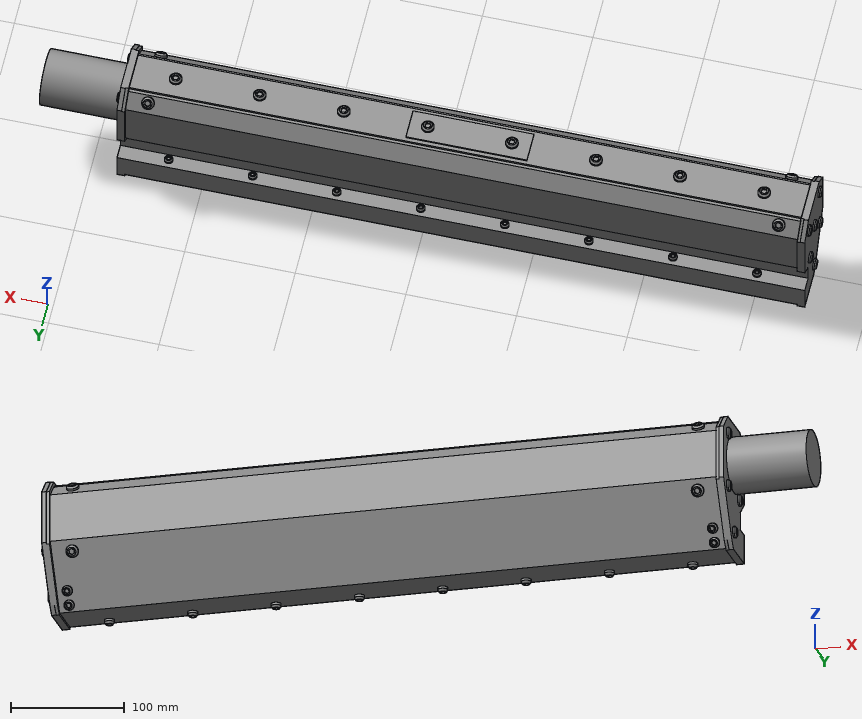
import cadquery as cq
import math

total_length = 697.0
end_head_height = 3.0
housing_span = 622.0
plate_outer_layer = 4.0
plate_inner_layer = 3.0
layer_relief = 1.0

half_width = 35.5
plate_top = 120.5
plate_bottom = 2.0
plate_chamfer = 14.5
side_bottom = 58.0
slope_ratio = math.sqrt(3)
corner_cut_z = 9.0
corner_toe_y = -1.5

notch_y = 22.0
notch_top = 46.0
ledge_z = 29.0

side_inset = 3.5
bottom_inset = 2.0
body_top = 116.0
body_chamfer = 12.0
body_slope_top = 60.0

cover_half_width = 17.5
cover_thickness = 2.0
label_length = 109.5
label_width = 28.0
label_thickness = 1.5

shaft_diameter = 51.0
shaft_z = 81.5

socket_ratio = 0.5
crown_ratio = 0.7
embed = 2.0
end_head_diameter = 10.5
body_head_diameter = 11.0
head_height = 3.5
small_head_diameter = 9.0
foot_head_diameter = 9.0
ledge_head_diameter = 8.0
foot_screw_y = 28.0

row_count = 8
row_pitch = 76.0
side_screw_offset = 285.0
pair_screw_offset = 294.0
slope_screw_z = 51.0
chamfer_screw_y = 25.0
pair_screw_heights = (21.0, 10.0)

end_screws = [(21.0, 104.5), (-21.0, 104.5), (0, shaft_z), (17.0, 55.0), (-21.0, 55.0), (0, 19.0)]

housing_start = end_head_height
housing_end = housing_start + housing_span
mid_x = (housing_start + housing_end) / 2
plate_thickness = plate_outer_layer + plate_inner_layer
body_half = half_width - side_inset
body_bottom = plate_bottom + bottom_inset
foot_head_height = body_bottom
body_flat_half = body_half - body_chamfer
body_shoulder_z = body_top - body_chamfer
cover_top = body_top + cover_thickness
label_top = cover_top + label_thickness
row_xs = [mid_x + (i - (row_count - 1) / 2) * row_pitch for i in range(row_count)]


def prism(points, x_start, length):
    """Extrude a closed (y, z) outline along +X."""
    return cq.Workplane("YZ", origin=(x_start, 0, 0)).polyline(points).close().extrude(length)


def plate_outline(relief):
    """End plate outline; relief sets back the chamfers, front side and lower corner."""
    front = -half_width + relief
    bevel_y = -half_width + (side_bottom - corner_cut_z) / slope_ratio
    return [
        (half_width, plate_bottom),
        (half_width, ledge_z),
        (notch_y, ledge_z),
        (notch_y, notch_top),
        (half_width, side_bottom),
        (half_width, plate_top - plate_chamfer - relief),
        (half_width - plate_chamfer - relief, plate_top),
        (-half_width + plate_chamfer + relief, plate_top),
        (front, plate_top - plate_chamfer),
        (front, side_bottom - relief * slope_ratio),
        (bevel_y, corner_cut_z),
        (corner_toe_y + relief, plate_bottom),
    ]


def end_plate(outer_x, inward):
    """Two-layer end plate; inward is +1 or -1 along X."""
    outer = prism(plate_outline(0), outer_x, inward * plate_outer_layer)
    inner_x = outer_x + inward * plate_outer_layer
    return outer.union(prism(plate_outline(layer_relief), inner_x, inward * plate_inner_layer))


def body():
    slope_run = (body_slope_top - body_bottom) / slope_ratio
    outline = [
        (half_width, body_bottom),
        (half_width, ledge_z),
        (notch_y, ledge_z),
        (notch_y, notch_top),
        (body_half, side_bottom),
        (body_half, body_shoulder_z),
        (body_flat_half, body_top),
        (-body_flat_half, body_top),
        (-body_half, body_shoulder_z),
        (-body_half, body_slope_top),
        (-body_half + slope_run, body_bottom),
    ]
    return prism(outline, housing_start + plate_thickness, housing_span - 2 * plate_thickness)


def head(point, normal, diameter, height):
    """Button head with a hex socket, seated at point and facing along normal."""
    seat_plane = cq.Plane(origin=point, normal=normal)
    rim = height / 2
    profile = (
        cq.Workplane("XZ")
        .moveTo(0, -embed)
        .lineTo(diameter / 2, -embed)
        .lineTo(diameter / 2, rim)
        .lineTo(crown_ratio * diameter / 2, height)
        .lineTo(0, height)
        .close()
    )
    socket = cq.Workplane("XY", origin=(0, 0, rim)).polygon(6, socket_ratio * diameter).extrude(height)
    shape = profile.revolve(360, (0, 0, 0), (0, 1, 0)).cut(socket)
    return cq.Workplane(shape.val().moved(cq.Location(seat_plane)))


def slope_y(z):
    """Y of the body's front slope at height z."""
    return -body_half + (body_slope_top - z) / slope_ratio


result = body()
result = result.union(end_plate(housing_start, 1))
result = result.union(end_plate(housing_end, -1))

cover_length = housing_span - 2 * plate_thickness
for length, width, base_z, thickness in (
    (cover_length, 2 * cover_half_width, body_top, cover_thickness),
    (label_length, label_width, cover_top, label_thickness),
):
    slab = cq.Workplane("XY", origin=(mid_x, 0, base_z)).rect(length, width).extrude(thickness)
    result = result.union(slab)

shaft = cq.Workplane("YZ", origin=(housing_end, 0, shaft_z)).circle(shaft_diameter / 2)
result = result.union(shaft.extrude(total_length - housing_end))

heads = []

for y, z in end_screws:
    heads.append(head((housing_start, y, z), (-1, 0, 0), end_head_diameter, end_head_height))
    if (y, z) != (0, shaft_z):
        heads.append(head((housing_end, y, z), (1, 0, 0), end_head_diameter, end_head_height))

for x in row_xs:
    seat_z = label_top if abs(x - mid_x) < label_length / 2 else cover_top
    heads.append(head((x, 0, seat_z), (0, 0, 1), body_head_diameter, head_height))
    heads.append(head((x, foot_screw_y, body_bottom), (0, 0, -1), foot_head_diameter, foot_head_height))
    heads.append(head((x, foot_screw_y, ledge_z), (0, 0, 1), ledge_head_diameter, head_height))

chamfer_screw_z = body_shoulder_z + body_half - chamfer_screw_y
slope_normal = (0, -slope_ratio, -1)
for end in (-1, 1):
    side_x = mid_x + end * side_screw_offset
    pair_x = mid_x + end * pair_screw_offset
    for side in (-1, 1):
        seat = (side_x, side * chamfer_screw_y, chamfer_screw_z)
        heads.append(head(seat, (0, side, 1), body_head_diameter, head_height))
    seat = (side_x, slope_y(slope_screw_z), slope_screw_z)
    heads.append(head(seat, slope_normal, body_head_diameter, head_height))
    for z in pair_screw_heights:
        heads.append(head((pair_x, slope_y(z), z), slope_normal, small_head_diameter, head_height))

for item in heads:
    result = result.union(item)